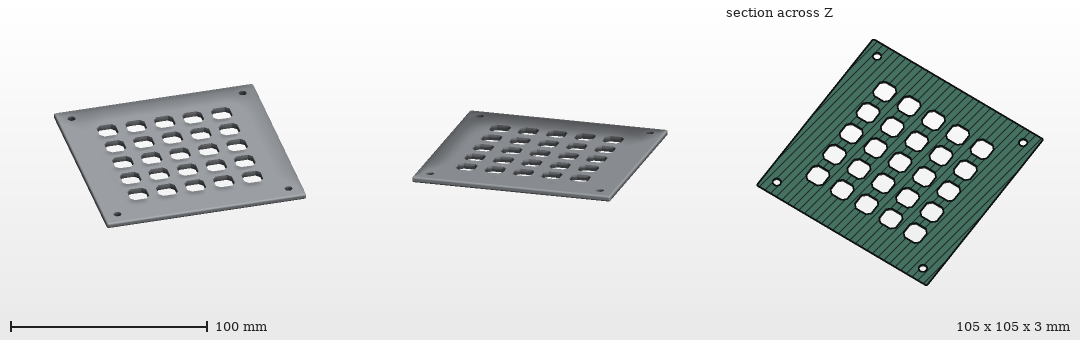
import cadquery as cq

plate_side = 105.0
plate_thickness = 3.0
edge_radius = 1.0

screw_hole_diameter = 4.0
screw_hole_spacing = 90.0

window_side = 10.0
window_corner_cut = 2.0
window_pitch = 15.0
windows_per_row = 5


def make_plate():
    """Square plate resting on Z = 0, with every edge rounded."""
    plate = cq.Workplane("XY").box(
        plate_side, plate_side, plate_thickness, centered=(True, True, False)
    )
    return plate.edges().fillet(edge_radius)


def make_screw_holes():
    """Cylinders that cut the four through holes."""
    return (
        cq.Workplane("XY")
        .rect(screw_hole_spacing, screw_hole_spacing, forConstruction=True)
        .vertices()
        .circle(screw_hole_diameter / 2)
        .extrude(plate_thickness)
    )


def make_windows():
    """Square prisms with chamfered vertical edges that cut the window grid."""
    return (
        cq.Workplane("XY")
        .rarray(window_pitch, window_pitch, windows_per_row, windows_per_row)
        .rect(window_side, window_side)
        .extrude(plate_thickness)
        .edges("|Z")
        .chamfer(window_corner_cut)
    )


result = make_plate().cut(make_screw_holes()).cut(make_windows())